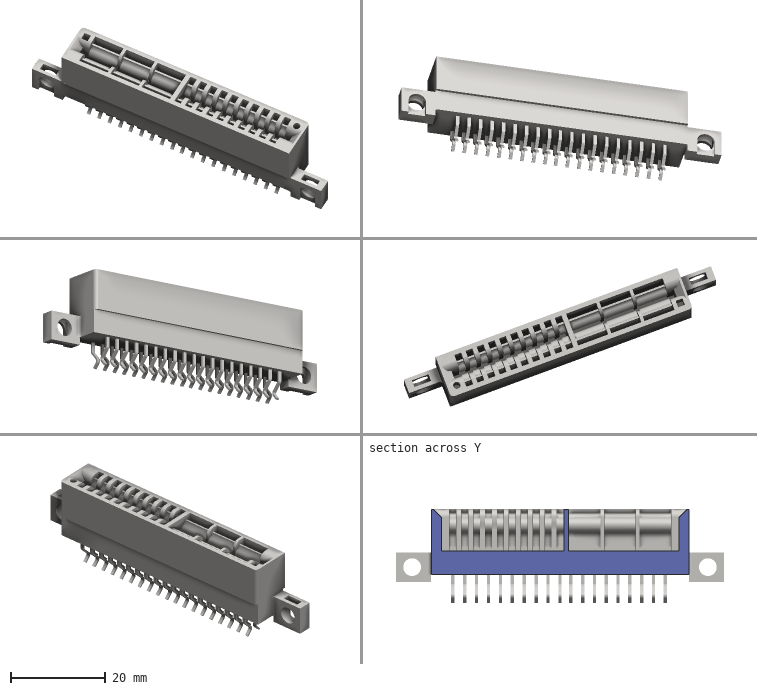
import cadquery as cq
import math

overall_length = 69.7
overall_height = 19.95
shroud_length = 54.9
shroud_width = 9.35
shroud_corner_radius = 0.85
housing_height = 13.9
base_width = 8.15
base_height = 5.1

ear_thickness = 3.15
ear_top = 4.7
ear_drop = 1.7
ear_corner_radius = 0.6
notch_corner_radius = 0.3
screw_diameter = 3.75
screw_inset = 3.4
screw_z = 1.5
screw_recess_depth = 0.8
nut_pocket_depth = 1.5

slot_floor = base_height
slot_length = 50.5
slot_width = 1.8
mouth_length = 53.8
mouth_width = 4.8
lead_in_depth = 1.7

chamber_width = 7.3
power_count = 3
power_chamber_length = 6.8
power_pitch = 7.5
power_end_x = -1.8
signal_count = 10
signal_chamber_length = 1.5
signal_start_x = 0.0
signal_end_x = 22.8
signal_pitch = (signal_end_x - signal_start_x) / (signal_count - 1)
key_wall_length = signal_start_x - signal_chamber_length / 2 - power_end_x

contact_thickness = 0.4
contact_clearance = 0.1
contact_root_y = 2.45
contact_tip_y = 2.2
contact_tip_z = 12.9
contact_slope = math.radians(70)
contact_nose_y = 0.55
contact_shoulder_radius = 1.2

embed_depth = 0.7

tails_per_power_contact = 3
tail_width = 0.7
tail_pitch = 2.5
tail_start_x = -22.4
tail_shoulder_z = -2.3
tail_root_y = 2.65
tail_nose_y = 0.5
tail_bend_radius = 0.6
tail_nose_z = tail_shoulder_z - (tail_root_y - tail_nose_y)
tail_end_z = housing_height - overall_height + contact_thickness / 2 * math.sqrt(0.5)
tail_end_y = tail_nose_y + tail_nose_z - tail_end_z

polarising_size = 1.5
polarising_x = 25.4
polarising_y = 2.65
polarising_depth = 3.5

base_front = -base_width / 2
ear_back = base_front + ear_thickness
mouth_floor = housing_height - lead_in_depth


def block(x_range, y_range, z_range):
    """Axis-aligned block spanning the three given ranges."""
    (x0, x1), (y0, y1), (z0, z1) = x_range, y_range, z_range
    return cq.Workplane("XY").box(x1 - x0, y1 - y0, z1 - z0, centered=False).translate((x0, y0, z0))


def centred(length, middle=0.0):
    """Range of the given length about a middle point."""
    return (middle - length / 2, middle + length / 2)


def make_housing():
    base = block(centred(shroud_length), centred(base_width), (0, base_height))
    shroud = block(centred(shroud_length), centred(shroud_width), (base_height, housing_height))
    shroud = shroud.edges("|Z and >Y").fillet(shroud_corner_radius)
    return base.union(shroud)


def make_ear():
    """Ear at the -X end, blended into the base at its back and at the notch below."""
    root_x = -shroud_length / 2
    ear = block((-overall_length / 2, root_x), (base_front, ear_back), (-ear_drop, ear_top))
    back_blend = (
        cq.Workplane("XY")
        .moveTo(root_x, ear_back)
        .lineTo(root_x, ear_back + ear_corner_radius)
        .radiusArc((root_x - ear_corner_radius, ear_back), ear_corner_radius)
        .close()
        .extrude(ear_top)
    )
    notch_blend = (
        cq.Workplane("XZ", origin=(0, ear_back, 0))
        .moveTo(root_x, 0)
        .lineTo(root_x + notch_corner_radius, 0)
        .radiusArc((root_x, -notch_corner_radius), -notch_corner_radius)
        .close()
        .extrude(ear_thickness)
    )
    screw_x = -overall_length / 2 + screw_inset
    hole = (
        cq.Workplane("XZ", origin=(0, ear_back, 0))
        .center(screw_x, screw_z)
        .circle(screw_diameter / 2)
        .extrude(ear_thickness)
    )
    nut_front = base_front + screw_recess_depth
    slot_x = centred(screw_diameter, screw_x)
    front_recess = block(slot_x, (base_front, nut_front), (-ear_drop, screw_z))
    nut_pocket = block(slot_x, (nut_front, nut_front + nut_pocket_depth), (screw_z, ear_top))
    return ear.union(back_blend).union(notch_blend).cut(hole).cut(front_recess).cut(nut_pocket)


def make_card_slot():
    slot = block(centred(slot_length), centred(slot_width), (slot_floor, housing_height))
    half_slot = slot_width / 2
    half_mouth = mouth_width / 2
    run = half_mouth - half_slot
    radius = (run ** 2 + lead_in_depth ** 2) / (2 * run)
    lead_in = (
        cq.Workplane("YZ", origin=(-mouth_length / 2, 0, 0))
        .moveTo(-half_slot, mouth_floor)
        .lineTo(half_slot, mouth_floor)
        .radiusArc((half_mouth, housing_height), radius)
        .lineTo(-half_mouth, housing_height)
        .radiusArc((-half_slot, mouth_floor), radius)
        .close()
        .extrude(mouth_length)
    )
    sloped_ends = (
        cq.Workplane("XZ", origin=(0, half_mouth, 0))
        .moveTo(-slot_length / 2, mouth_floor)
        .lineTo(slot_length / 2, mouth_floor)
        .lineTo(mouth_length / 2, housing_height)
        .lineTo(-mouth_length / 2, housing_height)
        .close()
        .extrude(mouth_width)
    )
    key_wall = block(
        (power_end_x, power_end_x + key_wall_length), centred(mouth_width), (slot_floor, housing_height)
    )
    return slot.union(lead_in.intersect(sloped_ends)).cut(key_wall)


def make_chamber(x, length):
    return block(centred(length, x), centred(chamber_width), (slot_floor, housing_height))


def make_contact_pair(x, chamber_length):
    """Facing contacts, each swept down from its tip through shoulder, nose and heel arcs to its root."""
    drop = math.sin(contact_slope)
    shift = 1 - math.cos(contact_slope)
    nose_radius = (contact_tip_y - contact_nose_y) / shift - contact_shoulder_radius
    upper_y = contact_tip_y - contact_shoulder_radius * shift
    upper_z = contact_tip_z - contact_shoulder_radius * drop
    lower_y = contact_nose_y + nose_radius * shift
    lower_z = upper_z - 2 * nose_radius * drop
    heel_radius = (contact_root_y - lower_y) / shift
    heel_z = lower_z - heel_radius * drop
    path = (
        cq.Workplane("YZ", origin=(x, 0, 0))
        .moveTo(contact_tip_y, contact_tip_z)
        .radiusArc((upper_y, upper_z), contact_shoulder_radius)
        .radiusArc((lower_y, lower_z), -nose_radius)
        .radiusArc((contact_root_y, heel_z), heel_radius)
        .lineTo(contact_root_y, slot_floor - embed_depth)
    )
    contact = (
        cq.Workplane("XY", origin=(x, contact_tip_y, contact_tip_z))
        .rect(chamber_length - 2 * contact_clearance, contact_thickness)
        .sweep(path)
    )
    return contact.union(contact.mirror("XZ"))


def make_tail_pair(x):
    """Facing solder tails, each bent inwards and back out again."""
    points = [
        (tail_root_y, embed_depth),
        (tail_root_y, tail_shoulder_z),
        (tail_nose_y, tail_nose_z),
        (tail_end_y, tail_end_z),
    ]
    path = cq.Wire.makePolygon([cq.Vector(x, y, z) for y, z in points])
    path = path.fillet(tail_bend_radius, path.Vertices()[1:-1])
    tail = (
        cq.Workplane("XY", origin=(x, tail_root_y, embed_depth))
        .rect(tail_width, contact_thickness)
        .sweep(cq.Workplane(path))
    )
    return tail.union(tail.mirror("XZ"))


def make_polarising_holes():
    rim = cq.Workplane("XY", origin=(0, polarising_y, housing_height))
    square = rim.center(-polarising_x, 0).rect(polarising_size, polarising_size).extrude(-polarising_depth)
    round_hole = rim.center(polarising_x, 0).circle(polarising_size / 2).extrude(-polarising_depth)
    return square.union(round_hole)


power_last_x = power_end_x - power_chamber_length / 2
power_positions = [power_last_x - i * power_pitch for i in range(power_count)]
signal_positions = [signal_start_x + i * signal_pitch for i in range(signal_count)]
chambers = [(x, power_chamber_length) for x in power_positions]
chambers += [(x, signal_chamber_length) for x in signal_positions]
tail_positions = [tail_start_x + i * tail_pitch for i in range(power_count * tails_per_power_contact)]
tail_positions += signal_positions

ear = make_ear()
result = make_housing().union(ear).union(ear.mirror("YZ"))
result = result.cut(make_card_slot()).cut(make_polarising_holes())
for x, length in chambers:
    result = result.cut(make_chamber(x, length))
for x, length in chambers:
    result = result.union(make_contact_pair(x, length))
for x in tail_positions:
    result = result.union(make_tail_pair(x))